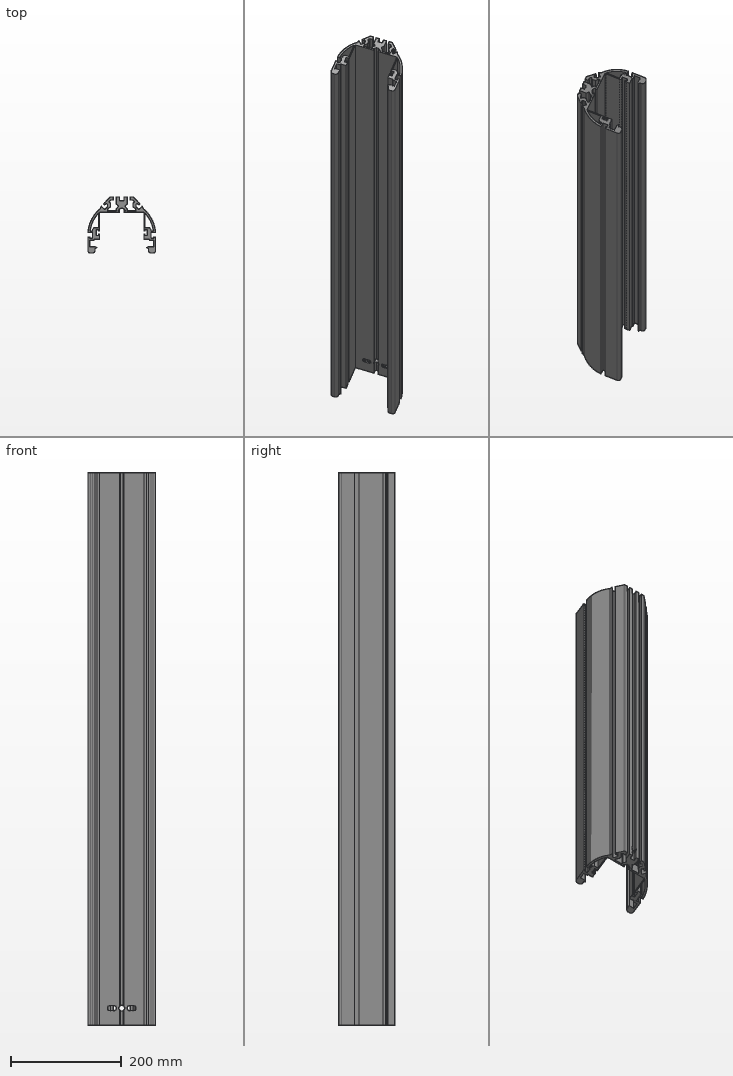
import cadquery as cq
import math

length = 1000.0
width = 123.0
height = 102.0
half_width = width / 2

shell_center_y = 33.0
shell_wall = 4.0
shell_end_x = 39.0
shell_tip_x = 37.0
shell_tip_y = 85.0
shell_mid_angle = 30

plate_bottom = 74.0
plate_top = 77.0
inner_wall_x = 40.0
inner_wall = 2.0

channel_gap = 4.0
post_outer_x = 10.0
post_bottom = 89.0
top_channel_floor = 95.0
waist_half = 6.0
waist_y = 85.0
web_foot_height = 3.0
web_bottom = 81.0
web_bottom_half = 2.0
screw_channel_half = 7.0

lip_inner_x = 15.0
lip_bottom = 96.0
lip_end_x = 20.0
shoulder_top_x = 21.0
shoulder_round = 3.0
shoulder_tip_x = 33.0
shoulder_tip_y = 89.0
hook_thickness = 2.0
shoulder_wall_x = 20.0
shoulder_wall = 6.0
shoulder_wall_bottom = 84.0
shoulder_wall_top = 90.0
shoulder_flare = 3.0
shoulder_foot_x = 25.0
shoulder_foot_width = 8.0
shoulder_undercut_y = 80.0

rail_top = 46.0
rail_bottom = 25.0
rail_outer_x = 53.0
rail_chamfer = 3.0
upper_ledge_thickness = 3.0
lower_ledge_bottom = 23.0
lower_ledge_overlap = 3.0
slot_top = 37.0
slot_bottom = 27.0
slot_lip_y = 29.0
groove_top = 42.0
groove_bottom = 32.0
groove_depth_x = 46.0
groove_lip = 2.0
groove_mouth_top = 40.0
groove_mouth_bottom = 35.0

leg_wall = 4.0
foot_inner_x = 48.0
foot_top = 12.0
foot_round = 5.0
barb_length = 3.0
barb_half_height = 2.0
barb_y = 10.0

hole_z = 31.0
center_hole_diameter = 10.0
side_hole_x = 18.0
side_hole_length = 16.0
side_hole_height = 9.0


def prism(points):
    """Full-length prism over a closed polygon in the XY plane."""
    return cq.Workplane("XY").polyline(points).close().extrude(length)


def bar(x_min, x_max, y_min, y_max):
    """Full-length rectangular bar."""
    return prism([(x_min, y_min), (x_max, y_min), (x_max, y_max), (x_min, y_max)])


def circle_y(radius, x):
    """Height of the shell circle of the given radius at x."""
    return shell_center_y + math.sqrt(radius**2 - x**2)


def side_shell():
    """Curved wall from the outward slot up to a pointed tip beside the diagonal slot."""
    inner_radius = half_width - shell_wall
    start_x = math.sqrt(half_width**2 - (slot_top - shell_center_y) ** 2)
    inner_start_x = math.sqrt(inner_radius**2 - (slot_top - shell_center_y) ** 2)
    middle_angle = math.radians(shell_mid_angle)
    middle = (math.cos(middle_angle), math.sin(middle_angle))
    root_x = shell_tip_x - (shell_tip_y - plate_top)
    return (
        cq.Workplane("XY")
        .moveTo(start_x, slot_top)
        .threePointArc(
            (half_width * middle[0], shell_center_y + half_width * middle[1]),
            (shell_end_x, circle_y(half_width, shell_end_x)),
        )
        .lineTo(shell_tip_x, shell_tip_y)
        .lineTo(root_x, plate_top)
        .lineTo(inner_wall_x, plate_bottom)
        .lineTo(inner_wall_x, circle_y(inner_radius, inner_wall_x))
        .threePointArc(
            (inner_radius * middle[0], shell_center_y + inner_radius * middle[1]),
            (inner_start_x, slot_top),
        )
        .close()
        .extrude(length)
    )


def plate_and_wall():
    """Half of the mounting plate with the thin inner wall below its outer end."""
    plate = bar(channel_gap, inner_wall_x + inner_wall, plate_bottom, plate_top)
    return plate.union(bar(inner_wall_x, inner_wall_x + inner_wall, rail_top, plate_top))


def central_web():
    """Half of the X-shaped web: a post above, a core and a spread foot on the plate."""
    return prism(
        [
            (0, web_bottom),
            (web_bottom_half, web_bottom),
            (screw_channel_half, plate_top),
            (post_outer_x, plate_top),
            (post_outer_x, plate_top + web_foot_height),
            (waist_half, waist_y),
            (post_outer_x, post_bottom),
            (post_outer_x, height),
            (channel_gap, height),
            (channel_gap, top_channel_floor),
            (0, top_channel_floor),
        ]
    )


def shoulder():
    """Hooked shoulder: a sloped head with a lip at each end, on a wall that flares to its foot."""
    wall_outer_x = shoulder_wall_x + shoulder_wall
    block = prism(
        [
            (lip_inner_x, height),
            (shoulder_top_x, height),
            (shoulder_tip_x, shoulder_tip_y),
            (shoulder_tip_x - hook_thickness, shoulder_tip_y - hook_thickness),
            (wall_outer_x + hook_thickness, shoulder_wall_top),
            (wall_outer_x, shoulder_wall_top - hook_thickness),
            (wall_outer_x, shoulder_wall_bottom),
            (shoulder_foot_x + shoulder_foot_width, plate_top),
            (shoulder_foot_x, plate_top),
            (shoulder_foot_x, shoulder_undercut_y),
            (shoulder_wall_x, shoulder_wall_bottom),
            (shoulder_wall_x, shoulder_wall_top),
            (shoulder_wall_x + shoulder_flare, shoulder_wall_top + shoulder_flare),
            (lip_end_x, lip_bottom),
            (lip_inner_x, lip_bottom),
        ]
    )
    top_corner = cq.selectors.NearestToPointSelector((shoulder_top_x, height, length / 2))
    return block.edges(top_corner).fillet(shoulder_round)


def side_rail():
    """Rail block with its ledges out to the shell and leg, before the groove is cut."""
    block = prism(
        [
            (inner_wall_x, rail_bottom),
            (rail_outer_x, rail_bottom),
            (rail_outer_x, rail_top - rail_chamfer),
            (rail_outer_x - rail_chamfer, rail_top),
            (inner_wall_x, rail_top),
        ]
    )
    ledge_top = slot_top + upper_ledge_thickness
    upper_ledge = bar(rail_outer_x, half_width - shell_wall / 2, slot_top, ledge_top)
    lower_ledge = bar(rail_outer_x - lower_ledge_overlap, half_width, lower_ledge_bottom, slot_bottom)
    mouth = bar(inner_wall_x, groove_depth_x, groove_mouth_bottom, groove_mouth_top)
    cavity = bar(inner_wall_x + groove_lip, groove_depth_x, groove_bottom, groove_top)
    return block.union(upper_ledge).union(lower_ledge).cut(mouth).cut(cavity)


def leg():
    """Straight outer leg with a rounded solid foot and a small inward barb."""
    wall = bar(half_width - leg_wall, half_width, foot_top / 2, slot_lip_y)
    foot = bar(foot_inner_x, half_width, 0, foot_top).edges("|Z and <Y").fillet(foot_round)
    barb = prism(
        [
            (foot_inner_x, barb_y - barb_half_height),
            (foot_inner_x, barb_y + barb_half_height),
            (foot_inner_x - barb_length, barb_y),
        ]
    )
    return wall.union(foot).union(barb)


half = plate_and_wall()
for section in (side_shell(), central_web(), shoulder(), side_rail(), leg()):
    half = half.union(section)
profile = half.union(half.mirror("YZ"))

center_hole = (
    cq.Workplane("XZ").center(0, hole_z).circle(center_hole_diameter / 2).extrude(-height)
)
side_holes = (
    cq.Workplane("XZ", origin=(0, plate_bottom, 0))
    .pushPoints([(-side_hole_x, hole_z), (side_hole_x, hole_z)])
    .slot2D(side_hole_length, side_hole_height)
    .extrude(plate_bottom - plate_top)
)
result = profile.cut(center_hole).cut(side_holes)